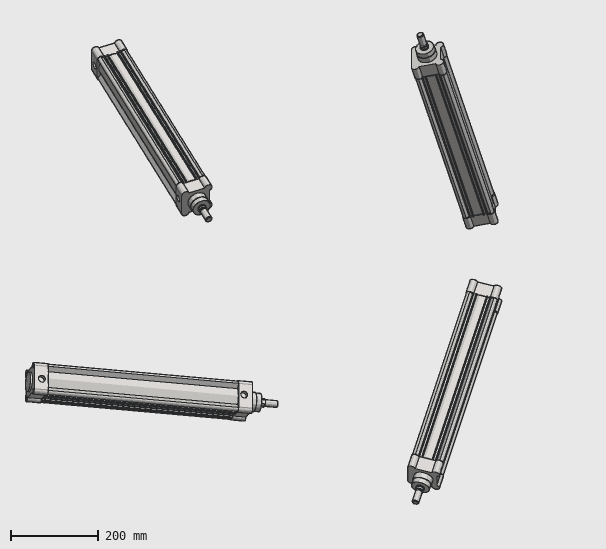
import cadquery as cq
import math

rear_cap_start = 4.45
rear_cap_end = 38.0
front_cap_start = 491.0
front_cap_end = 524.5
collar_end = 539.0
nose_end = 551.0
rod_collar_start = 553.0
neck_start = 555.0
neck_end = 560.0
rim_end = 562.0
thread_start = 564.0
rod_tip = 594.0

cap_half_width = 38.0
post_radius = 9.5
post_offset = cap_half_width - post_radius
cap_recessed_half = 31.5
screw_hole_diameter = 7.0
screw_hole_depth = 12.0
boss_diameter = 45.0
nose_diameter = 43.0

port_diameter = 16.0
port_depth = 12.0
port_offset_z = 2.7
rear_port_x = 22.5
front_port_x = 504.5

barrel_radius = 34.0
rib_outer_half = 37.0
rib_radius = rib_outer_half - post_offset
rib_edge = 29.0
barrel_edge = 19.0
rail_height = 37.0
rail_inner_start = 11.0
rail_thickness = 2.5
rail_gap = 5.5
slot_floor_height = 32.5

rod_diameter = 20.0
neck_diameter = 19.0
flat_width = 16.5
thread_diameter = 16.0
thread_chamfer = 2.0


def disc(diameter, start, end):
    """Cylinder about the X axis between two stations."""
    return cq.Workplane("YZ", origin=(start, 0, 0)).circle(diameter / 2).extrude(end - start)


def slab(start, end, y_low, y_high, z_low, z_high):
    """Box between two stations and the given Y and Z limits."""
    size = (end - start, y_high - y_low, z_high - z_low)
    return cq.Workplane("XY", origin=(start, y_low, z_low)).box(*size, centered=False)


def corner_points():
    """Centres of the four corner posts in the YZ plane."""
    return [(sy * post_offset, sz * post_offset) for sy in (-1, 1) for sz in (-1, 1)]


def make_cap(start, end, port_x, port_z):
    """Cap body with four corner posts and a blind supply port."""
    cap = slab(start, end, -post_offset, cap_recessed_half, -cap_recessed_half, cap_recessed_half)
    cap = cap.union(slab(start, end, -cap_half_width, -post_offset, -post_offset, post_offset))
    posts = (
        cq.Workplane("YZ", origin=(start, 0, 0))
        .pushPoints(corner_points())
        .circle(post_radius)
        .extrude(end - start)
    )
    port = (
        cq.Workplane("XZ", origin=(port_x, -cap_half_width, port_z))
        .circle(port_diameter / 2)
        .extrude(-port_depth)
    )
    return cap.union(posts).cut(port)


def make_rear_cap():
    """Rear cap with a round boss and a blind screw hole in each post."""
    cap = make_cap(rear_cap_start, rear_cap_end, rear_port_x, -port_offset_z)
    cap = cap.union(disc(boss_diameter, 0, rear_cap_start))
    screw_holes = (
        cq.Workplane("YZ", origin=(rear_cap_start, 0, 0))
        .pushPoints(corner_points())
        .circle(screw_hole_diameter / 2)
        .extrude(screw_hole_depth)
    )
    return cap.cut(screw_holes)


def make_front_cap():
    """Front cap with a stepped round nose that the rod comes out of."""
    cap = make_cap(front_cap_start, front_cap_end, front_port_x, port_offset_z)
    nose = disc(nose_diameter, collar_end, nose_end)
    return cap.union(disc(boss_diameter, front_cap_end, collar_end)).union(nose)


def make_tube():
    """Barrel with corner ribs and sensor slots, filling the space between the caps."""
    length = front_cap_start - rear_cap_end
    tube = disc(2 * barrel_radius, rear_cap_end, front_cap_start)
    flank_foot = math.sqrt(barrel_radius**2 - barrel_edge**2)
    rib_side = post_offset + math.sqrt(rib_radius**2 - (rib_edge - post_offset) ** 2)
    rib_crown = post_offset + rib_radius / math.sqrt(2)
    for quarter in range(4):
        rib = (
            cq.Workplane("YZ", origin=(rear_cap_end, 0, 0))
            .lineTo(flank_foot, barrel_edge)
            .lineTo(rib_side, rib_edge)
            .threePointArc((rib_crown, rib_crown), (rib_edge, rib_side))
            .lineTo(barrel_edge, flank_foot)
            .close()
            .extrude(length)
        )
        tube = tube.union(rib.rotate((0, 0, 0), (1, 0, 0), 90 * quarter))
    rail_outer_start = rail_inner_start + rail_thickness + rail_gap
    for rail_start in (rail_inner_start, rail_outer_start):
        for side in (-1, 1):
            y_low, y_high = sorted((side * rail_start, side * (rail_start + rail_thickness)))
            for z_low, z_high in ((0, rail_height), (-rail_height, 0)):
                tube = tube.union(slab(rear_cap_end, front_cap_start, y_low, y_high, z_low, z_high))
    for side in (-1, 1):
        y_low, y_high = sorted((side * rail_inner_start, side * rail_outer_start))
        tube = tube.union(
            slab(rear_cap_end, front_cap_start, y_low, y_high, -slot_floor_height, slot_floor_height)
        )
    return tube


def make_rod():
    """Rod of stepped diameters, turned about the X axis, with flats milled through the neck."""
    rod_radius = rod_diameter / 2
    neck_radius = neck_diameter / 2
    thread_radius = thread_diameter / 2
    rod = (
        cq.Workplane("XY")
        .moveTo(nose_end, 0)
        .lineTo(nose_end, neck_radius)
        .lineTo(rod_collar_start, neck_radius)
        .lineTo(rod_collar_start, rod_radius)
        .lineTo(neck_start, rod_radius)
        .lineTo(neck_start, neck_radius)
        .lineTo(neck_end, neck_radius)
        .lineTo(neck_end, rod_radius)
        .lineTo(rim_end, rod_radius)
        .lineTo(thread_start, thread_radius)
        .lineTo(rod_tip - thread_chamfer, thread_radius)
        .lineTo(rod_tip, thread_radius - thread_chamfer)
        .lineTo(rod_tip, 0)
        .close()
        .revolve(360, (0, 0, 0), (1, 0, 0))
    )
    for y_low, y_high in ((flat_width / 2, rod_radius), (-rod_radius, -flat_width / 2)):
        rod = rod.cut(slab(neck_start, thread_start, y_low, y_high, -rod_radius, rod_radius))
    return rod


rear_cap = make_rear_cap()
tube = make_tube()
front_cap = make_front_cap()
rod = make_rod()

result = cq.Compound.makeCompound([rear_cap.val(), tube.val(), front_cap.val(), rod.val()])